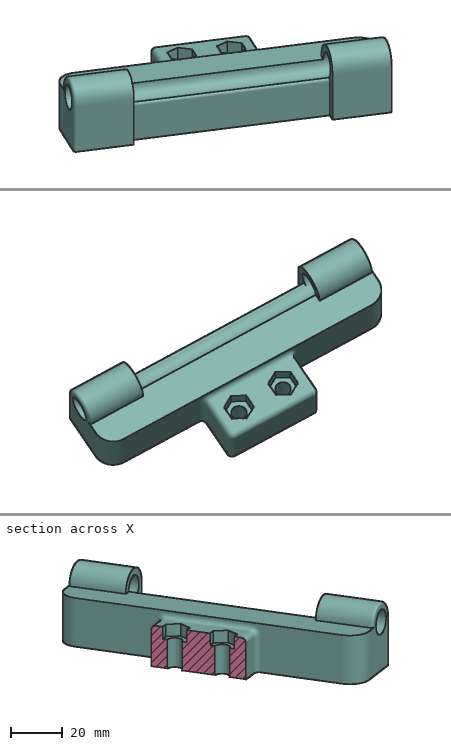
import cadquery as cq

length = 128.0
width = 48.0

bar_height = 20.0
bar_corner_radius = 8.0
middle_relief = 4.0

knuckle_diameter = 16.0
knuckle_length = 24.0
bore_diameter = 10.0
small_fillet = 1.0

lug_depth = 20.0
lug_width = 2 * lug_depth
lug_height = 17.0
lug_fillet = 2.0

hole_diameter = 6.0
hole_spacing = lug_width / 2
nut_corner_diameter = 11.5
nut_depth = 5.0

pin_x = width - knuckle_diameter / 2
pin_z = bar_height
middle_back_x = width - middle_relief


def box(x_min, x_max, y_size, height):
    """Block resting on the base plane and centred on Y."""
    return cq.Workplane("XY").box(x_max - x_min, y_size, height, centered=(False, True, False)).translate(
        (x_min, 0, 0)
    )


def pin_bore():
    """Cylinder along the full pin axis; it leaves an open groove between the knuckles."""
    start = cq.Workplane("XZ", origin=(pin_x, length / 2, pin_z))
    return start.circle(bore_diameter / 2).extrude(length)


def make_bar():
    bar = box(lug_depth, middle_back_x, length, bar_height)
    bar = bar.edges("|Z and <X").fillet(bar_corner_radius)
    bar = bar.cut(pin_bore())
    return bar.edges("|Y and >X").edges(">Z").fillet(small_fillet)


def make_lug():
    lug = box(0, lug_depth + bar_corner_radius, lug_width, lug_height)
    return lug.edges("(|Z and <X) or (>Z and (not >X))").fillet(lug_fillet)


def make_knuckle():
    """Round-topped knuckle at the -Y end, with its outer end edge rounded over the top and back."""
    knuckle = (
        cq.Workplane("XZ", origin=(0, knuckle_length - length / 2, 0))
        .moveTo(width - knuckle_diameter, 0)
        .lineTo(width, 0)
        .lineTo(width, pin_z)
        .threePointArc((pin_x, pin_z + knuckle_diameter / 2), (width - knuckle_diameter, pin_z))
        .close()
        .extrude(knuckle_length)
    )
    return knuckle.faces("<Y").edges(">X or >Z").fillet(small_fillet)


def blend_lug_root(body):
    """Concave fillet where the top and sides of the lug meet the bar."""
    margin = 0.1
    root_edges = cq.selectors.BoxSelector(
        (lug_depth - margin, -lug_width / 2 - margin, margin),
        (lug_depth + margin, lug_width / 2 + margin, lug_height + margin),
    )
    return body.edges(root_edges).fillet(lug_fillet)


def lug_holes():
    centres = [(lug_depth / 2, side * hole_spacing / 2) for side in (-1, 1)]
    holes = cq.Workplane("XY").pushPoints(centres).circle(hole_diameter / 2).extrude(lug_height)
    pockets = (
        cq.Workplane("XY", origin=(0, 0, lug_height - nut_depth))
        .pushPoints(centres)
        .polygon(6, nut_corner_diameter)
        .extrude(nut_depth)
    )
    return holes.union(pockets)


knuckle = make_knuckle()
body = blend_lug_root(make_bar().union(make_lug()))
body = body.union(knuckle).union(knuckle.mirror("XZ"))
result = body.cut(pin_bore()).cut(lug_holes())